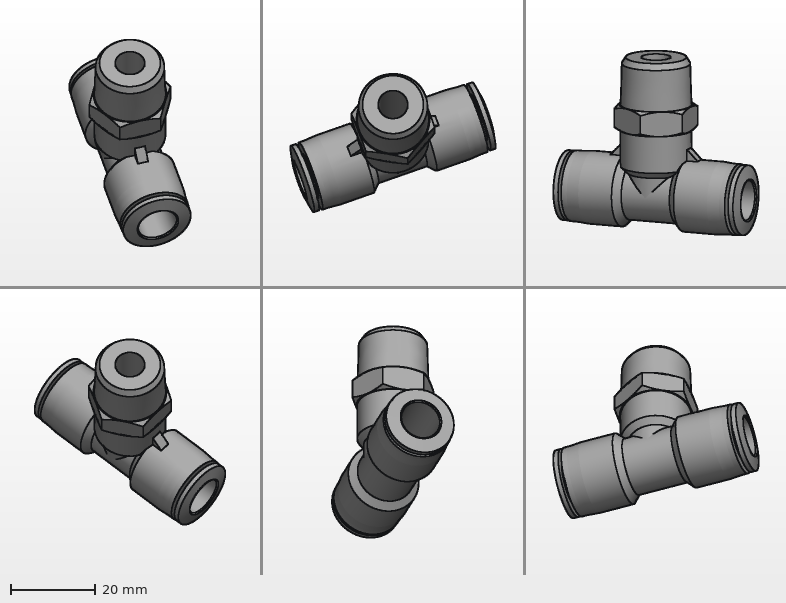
import cadquery as cq
import math


bore_radius = 7.0 / 2
core_radius = 6.95
branch_radius = 17.0 / 2

run_half_length = 47.4 / 2
body_radius = 17.5 / 2
body_end_radius = 17.0 / 2
core_half_length = 6.15
shoulder_end = core_half_length + body_radius - core_radius
taper_start = 16.45
taper_end = 19.5
body_end = 20.9

neck_radius = 11.5 / 2
neck_step = 0.2
neck_step_end = 21.35
collar_radius = 16.8 / 2
collar_start = 21.75
collar_rim_end = 23.0
socket_radius = 9.55 / 2
socket_chamfer = 0.35
socket_bottom = shoulder_end

branch_top = 41.75 - body_radius
cone_top = 6.55
cone_bottom = cone_top - (branch_radius - core_radius)
thread_tip_radius = 8.2
thread_tip_height = 31.5
thread_end_radius = 7.25

hex_corner_radius = 20.15 / 2
hex_flat_radius = hex_corner_radius * math.cos(math.radians(30))
hex_bottom = 15.5
hex_top = 21.5
hex_chamfer_height = (hex_corner_radius - hex_flat_radius) * math.tan(math.radians(30))

rib_width = 2.55
rib_top = 11.38
rib_reach = branch_radius + rib_top - body_radius


def revolve_x(points):
    """Turn an (x, radius) outline about the run axis."""
    return cq.Workplane("XY").polyline(points).close().revolve(360, (0, 0, 0), (1, 0, 0))


def revolve_z(points):
    """Turn a (radius, z) outline about the branch axis."""
    return cq.Workplane("XZ").polyline(points).close().revolve(360, (0, 0, 0), (0, 1, 0))


def both_ends(half):
    return half.union(half.mirror("YZ"))


def make_run():
    half = revolve_x([
        (0, 0),
        (0, core_radius),
        (core_half_length, core_radius),
        (shoulder_end, body_radius),
        (taper_start, body_radius),
        (taper_end, body_end_radius),
        (body_end, body_end_radius),
        (body_end, neck_radius - neck_step),
        (neck_step_end, neck_radius - neck_step),
        (neck_step_end, neck_radius),
        (collar_start, neck_radius),
        (collar_start, collar_radius),
        (collar_rim_end, collar_radius),
        (run_half_length, socket_radius + socket_chamfer),
        (run_half_length, 0),
    ])
    return both_ends(half)


def make_branch():
    return revolve_z([
        (0, 0),
        (core_radius, 0),
        (core_radius, cone_bottom),
        (branch_radius, cone_top),
        (branch_radius, hex_top),
        (thread_tip_radius, thread_tip_height),
        (thread_end_radius, branch_top),
        (0, branch_top),
    ])


def make_hexagon():
    """Hexagon with flats facing X and its corners chamfered at 30 degrees."""
    prism = (
        cq.Workplane("XY")
        .workplane(offset=hex_bottom)
        .polygon(6, 2 * hex_corner_radius)
        .extrude(hex_top - hex_bottom)
        .rotate((0, 0, 0), (0, 0, 1), 30)
    )
    corner_envelope = revolve_z([
        (0, hex_bottom),
        (hex_flat_radius, hex_bottom),
        (hex_corner_radius, hex_bottom + hex_chamfer_height),
        (hex_corner_radius, hex_top - hex_chamfer_height),
        (hex_flat_radius, hex_top),
        (0, hex_top),
    ])
    return prism.intersect(corner_envelope)


def make_ribs():
    """One plate through the branch forms the sloping rib on either side."""
    return (
        cq.Workplane("XZ")
        .polyline([
            (-rib_reach, body_radius),
            (-branch_radius, rib_top),
            (branch_radius, rib_top),
            (rib_reach, body_radius),
            (rib_reach, core_radius),
            (-rib_reach, core_radius),
        ])
        .close()
        .extrude(rib_width / 2, both=True)
    )


def make_run_bore():
    half = revolve_x([
        (0, 0),
        (0, bore_radius),
        (socket_bottom, bore_radius),
        (socket_bottom, socket_radius),
        (run_half_length - socket_chamfer, socket_radius),
        (run_half_length, socket_radius + socket_chamfer),
        (run_half_length, 0),
    ])
    return both_ends(half)


def make_branch_bore():
    return cq.Workplane("XY").circle(bore_radius).extrude(branch_top)


solid_body = make_run().union(make_branch()).union(make_hexagon()).union(make_ribs())
result = solid_body.cut(make_run_bore()).cut(make_branch_bore())